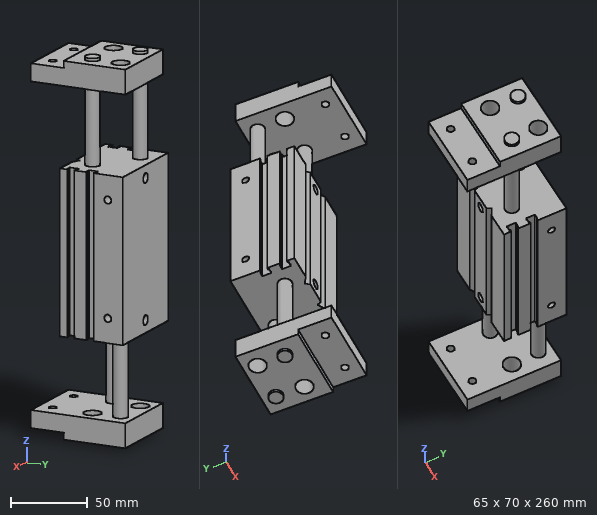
import cadquery as cq
import math


BODY_WIDTH = 65.0
BODY_DEPTH = 46.0
BODY_HEIGHT = 113.6

PLATE_WIDTH = 54.0
PLATE_BACK_Y = 22.0
PLATE_FRONT_Y = -47.0
PLATE_STEP_Y = -23.0
PLATE_THICKNESS = 17.0
PLATE_STEP_HEIGHT = 4.7
PLATE_GAP = 54.2
PLATE_INNER_Z = BODY_HEIGHT / 2 + PLATE_GAP
PLATE_OUTER_Z = PLATE_INNER_Z + PLATE_THICKNESS

ROD_DIAMETER = 10.0
ROD_END_Z = 130.0
ROD_LEFT_X = -14.0
ROD_RIGHT_X = 15.0
ROD_BACK_Y = 12.0
ROD_FRONT_Y = -8.0

ROD_CLEARANCE_DIAMETER = 12.0
MOUNT_HOLE_DIAMETER = 5.0
MOUNT_HOLE_X = 15.0
MOUNT_HOLE_Y = -37.0

SLOT_CENTRES_Y = (-0.9, -15.0)
SLOT_MOUTH_WIDTH = 5.2
SLOT_INNER_WIDTH = 6.4
SLOT_LIP = 1.5
SLOT_DEPTH = 5.0

GROOVE_OUTER_X = 15.1
GROOVE_DEPTH = 3.0
GROOVE_FLOOR_ANGLE = 30.0

CROSS_HOLE_DIAMETER = 6.6
CROSS_HOLE_Z = 48.0
SIDE_HOLE_DIAMETER = 5.0
SIDE_HOLE_DEPTH = 10.0
DRILL_POINT_ANGLE = 118.0
SIDE_HOLE_Y = 12.0
SIDE_HOLE_Z = 40.0

SIDES = (-1, 1)


def vertical_cylinders(points, diameter, bottom_z, top_z):
    """Upright cylinders of one diameter at the given XY points."""
    base = cq.Workplane("XY", origin=(0, 0, bottom_z))
    return base.pushPoints(points).circle(diameter / 2).extrude(top_z - bottom_z)


def cut_t_slots(body):
    """Cut the T-slots along the full height of both side faces."""
    face_x = BODY_WIDTH / 2
    for side in SIDES:
        for y in SLOT_CENTRES_Y:
            mouth = cq.Workplane("XY").center(side * face_x, y).rect(2 * SLOT_DEPTH, SLOT_MOUTH_WIDTH)
            body = body.cut(mouth.extrude(BODY_HEIGHT / 2, both=True))
            pocket_width = SLOT_DEPTH - SLOT_LIP
            pocket_x = side * (face_x - SLOT_LIP - pocket_width / 2)
            pocket = cq.Workplane("XY").center(pocket_x, y).rect(pocket_width, SLOT_INNER_WIDTH)
            body = body.cut(pocket.extrude(BODY_HEIGHT / 2, both=True))
    return body


def cut_v_grooves(body):
    """Cut the two lopsided V grooves along the front face."""
    face_y = -BODY_DEPTH / 2
    floor_slope = math.tan(math.radians(GROOVE_FLOOR_ANGLE))
    valley_x = GROOVE_OUTER_X - GROOVE_DEPTH / floor_slope
    inner_x = valley_x - GROOVE_DEPTH * floor_slope
    for side in SIDES:
        outline = [
            (side * GROOVE_OUTER_X, face_y),
            (side * valley_x, face_y + GROOVE_DEPTH),
            (side * inner_x, face_y),
        ]
        groove = cq.Workplane("XY").polyline(outline).close()
        body = body.cut(groove.extrude(BODY_HEIGHT / 2, both=True))
    return body


def cut_body_holes(body):
    """Drill the front-to-back through holes and the blind, pointed holes in both sides."""
    cross_points = [(0, end * CROSS_HOLE_Z) for end in SIDES]
    cross = cq.Workplane("XZ").pushPoints(cross_points).circle(CROSS_HOLE_DIAMETER / 2)
    body = body.cut(cross.extrude(BODY_DEPTH / 2, both=True))

    radius = SIDE_HOLE_DIAMETER / 2
    point_length = radius / math.tan(math.radians(DRILL_POINT_ANGLE / 2))
    for side in SIDES:
        for end in SIDES:
            mouth = cq.Vector(side * BODY_WIDTH / 2, SIDE_HOLE_Y, end * SIDE_HOLE_Z)
            inward = cq.Vector(-side, 0, 0)
            shank = cq.Solid.makeCylinder(radius, SIDE_HOLE_DEPTH, mouth, inward)
            point = cq.Solid.makeCone(radius, 0, point_length, mouth + inward * SIDE_HOLE_DEPTH, inward)
            body = body.cut(cq.Workplane(shank)).cut(cq.Workplane(point))
    return body


def make_body():
    """Slotted and grooved body with its cross holes."""
    body = cq.Workplane("XY").box(BODY_WIDTH, BODY_DEPTH, BODY_HEIGHT)
    body = cut_t_slots(body)
    body = cut_v_grooves(body)
    return cut_body_holes(body)


def make_upper_plate():
    """Stepped plate with mounting holes and clearance holes for the lower rods."""
    step_z = PLATE_OUTER_Z - PLATE_STEP_HEIGHT
    profile = [
        (PLATE_BACK_Y, PLATE_INNER_Z),
        (PLATE_BACK_Y, PLATE_OUTER_Z),
        (PLATE_STEP_Y, PLATE_OUTER_Z),
        (PLATE_STEP_Y, step_z),
        (PLATE_FRONT_Y, step_z),
        (PLATE_FRONT_Y, PLATE_INNER_Z),
    ]
    plate = cq.Workplane("YZ").polyline(profile).close().extrude(PLATE_WIDTH / 2, both=True)

    clearance_points = [(-ROD_LEFT_X, ROD_BACK_Y), (-ROD_RIGHT_X, ROD_FRONT_Y)]
    clearances = vertical_cylinders(clearance_points, ROD_CLEARANCE_DIAMETER, PLATE_INNER_Z, PLATE_OUTER_Z)
    mount_points = [(side * MOUNT_HOLE_X, MOUNT_HOLE_Y) for side in SIDES]
    mount_holes = vertical_cylinders(mount_points, MOUNT_HOLE_DIAMETER, PLATE_INNER_Z, PLATE_OUTER_Z)
    return plate.cut(clearances).cut(mount_holes)


def make_upper_rods():
    """Diagonal pair of rods from the top of the body to just above the plate."""
    rod_points = [(ROD_LEFT_X, ROD_BACK_Y), (ROD_RIGHT_X, ROD_FRONT_Y)]
    return vertical_cylinders(rod_points, ROD_DIAMETER, BODY_HEIGHT / 2, ROD_END_Z)


upper_end = make_upper_plate().union(make_upper_rods())
lower_end = upper_end.rotate((0, 0, 0), (0, 1, 0), 180)
result = make_body().union(upper_end).union(lower_end)